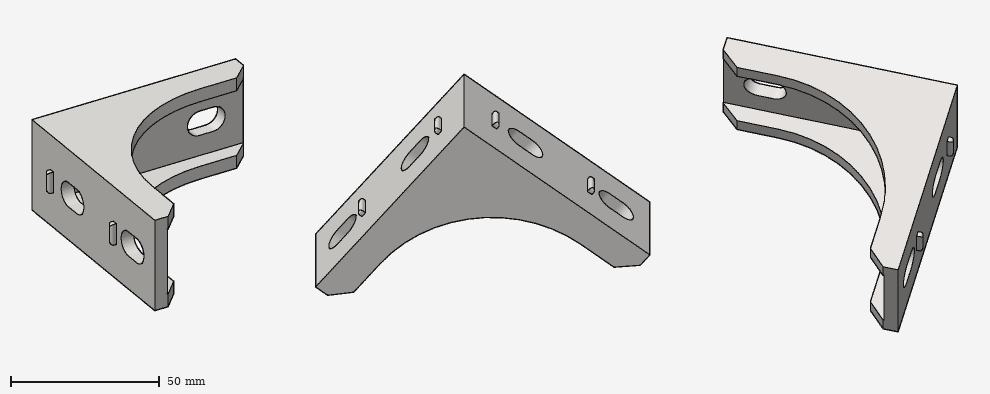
import cadquery as cq
import math

leg_length = 80.0
height = 35.0
wall = 5.0
cheek = 5.0
leg_depth = 11.3
end_depth = 5.25
chamfer_length = 6.4
arc_radius = 48.0

slot_centers = (26.5, 65.5)
slot_length = 14.8
slot_width = 9.35

tab_centers = (13.0, 54.0)
tab_width = 2.0
tab_height = 8.0
tab_projection = 2.0
tab_round = 0.49 * tab_width

mid_height = height / 2


def gusset_body():
    """Full L-shaped block with a concave inner corner and chamfered leg ends."""
    arc_end = leg_depth + arc_radius
    arc_mid = arc_end - arc_radius * math.sqrt(0.5)
    chamfer_start = leg_length - chamfer_length
    return (
        cq.Workplane("XY")
        .lineTo(leg_length, 0)
        .lineTo(leg_length, end_depth)
        .lineTo(chamfer_start, leg_depth)
        .lineTo(arc_end, leg_depth)
        .threePointArc((arc_mid, arc_mid), (leg_depth, arc_end))
        .lineTo(leg_depth, chamfer_start)
        .lineTo(end_depth, leg_length)
        .lineTo(0, leg_length)
        .close()
        .extrude(height)
    )


def inner_pocket():
    """Space between the two cheeks, open at the inner side and leg ends."""
    return cq.Workplane("XY").box(
        leg_length, leg_length, height - 2 * cheek, centered=False
    ).translate((wall, wall, cheek))


def wall_slot(distance):
    """Through slot in the wall of the X leg."""
    return (
        cq.Workplane("XZ", origin=(distance, 0, mid_height))
        .slot2D(slot_length, slot_width)
        .extrude(-wall)
    )


def locating_tab(distance):
    """Tab with a rounded tip on the outer face of the X leg."""
    return (
        cq.Workplane("XZ", origin=(distance, 0, mid_height))
        .rect(tab_width, tab_height)
        .extrude(tab_projection)
        .faces("<Y")
        .edges()
        .fillet(tab_round)
    )


def on_y_leg(feature):
    """Mirror a feature of the X leg across the diagonal plane onto the Y leg."""
    return feature.rotate((0, 0, 0), (0, 0, 1), 90).mirror("YZ")


result = gusset_body().cut(inner_pocket())

for slot_center in slot_centers:
    slot = wall_slot(slot_center)
    result = result.cut(slot).cut(on_y_leg(slot))

for tab_center in tab_centers:
    tab = locating_tab(tab_center)
    result = result.union(tab).union(on_y_leg(tab))